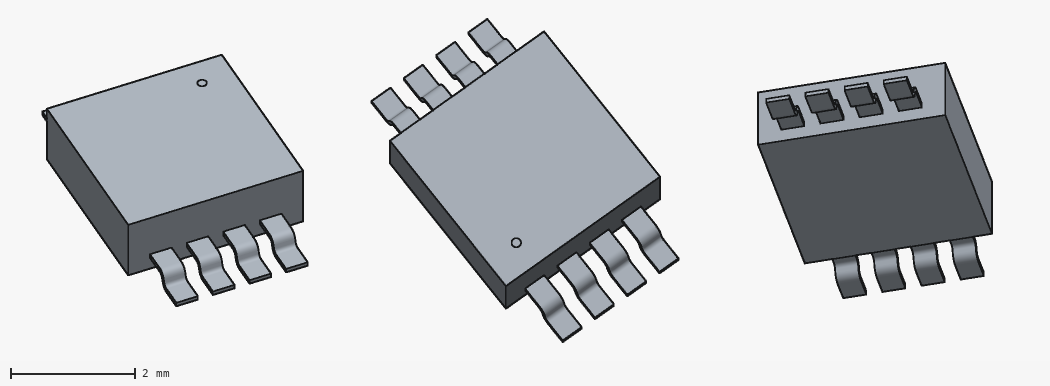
import cadquery as cq
import math

span_x = 5.11
housing_side = 3.1
housing_height = 1.09

leads_per_side = 4
lead_pitch = 0.65
lead_width = 0.385
lead_thickness = 0.075
lead_top = 0.31
foot_length = 0.38
bend_angle = math.radians(72)
bend_inner_radius = 0.08

marker_diameter = 0.155
marker_depth = 0.05
marker_edge_distance = 0.49

half_side = housing_side / 2
bend_outer_radius = bend_inner_radius + lead_thickness
first_lead_y = (leads_per_side - 1) / 2 * lead_pitch
marker_x = marker_edge_distance - half_side
marker_y = first_lead_y
marker_floor = housing_height - marker_depth


def make_marker():
    """Disc that fills the recess in the housing top."""
    return (
        cq.Workplane("XY", origin=(marker_x, marker_y, marker_floor))
        .circle(marker_diameter / 2)
        .extrude(marker_depth)
    )


def make_housing(marker):
    """Plain block with a recess that fits the marker."""
    block = cq.Workplane("XY").box(
        housing_side, housing_side, housing_height, centered=(True, True, False)
    )
    return block.cut(marker)


def make_lead():
    """Lead on the -X side, centred on Y = 0: foot, two equal bends and shoulder."""
    tip_x = -span_x / 2
    foot_end_x = tip_x + foot_length

    radius_sum = bend_inner_radius + bend_outer_radius
    rise = lead_top - lead_thickness
    web_rise = rise - radius_sum * (1 - math.cos(bend_angle))
    web_run = web_rise / math.tan(bend_angle)
    shoulder_start_x = foot_end_x + radius_sum * math.sin(bend_angle) + web_run

    lower_centre_z = bend_outer_radius
    upper_centre_z = lead_top - bend_outer_radius

    def lower_bend(radius, angle):
        """Point on the bend beside the foot, at an angle from the foot end."""
        return (
            foot_end_x + radius * math.sin(angle),
            lower_centre_z - radius * math.cos(angle),
        )

    def upper_bend(radius, angle):
        """Point on the bend beside the shoulder, at an angle from the shoulder start."""
        return (
            shoulder_start_x - radius * math.sin(angle),
            upper_centre_z + radius * math.cos(angle),
        )

    half_bend = bend_angle / 2
    profile = (
        cq.Workplane("XZ", origin=(0, lead_width / 2, 0))
        .moveTo(tip_x, 0)
        .lineTo(foot_end_x, 0)
        .threePointArc(
            lower_bend(bend_outer_radius, half_bend), lower_bend(bend_outer_radius, bend_angle)
        )
        .lineTo(*upper_bend(bend_inner_radius, bend_angle))
        .threePointArc(
            upper_bend(bend_inner_radius, half_bend), upper_bend(bend_inner_radius, 0)
        )
        .lineTo(-half_side, lead_top - lead_thickness)
        .lineTo(-half_side, lead_top)
        .lineTo(shoulder_start_x, lead_top)
        .threePointArc(
            upper_bend(bend_outer_radius, half_bend), upper_bend(bend_outer_radius, bend_angle)
        )
        .lineTo(*lower_bend(bend_inner_radius, bend_angle))
        .threePointArc(
            lower_bend(bend_inner_radius, half_bend), lower_bend(bend_inner_radius, 0)
        )
        .lineTo(tip_x, lead_thickness)
        .close()
    )
    return profile.extrude(lead_width)


def make_leads():
    """Both rows of leads, each copy a separate solid."""
    left_lead = make_lead()
    right_lead = left_lead.rotate((0, 0, 0), (0, 0, 1), 180)
    leads = []
    for index in range(leads_per_side):
        lead_y = first_lead_y - index * lead_pitch
        for lead in (left_lead, right_lead):
            leads.append(lead.translate((0, lead_y, 0)).val())
    return leads


marker = make_marker()
housing = make_housing(marker)
leads = make_leads()

result = cq.Compound.makeCompound([housing.val(), marker.val(), *leads])